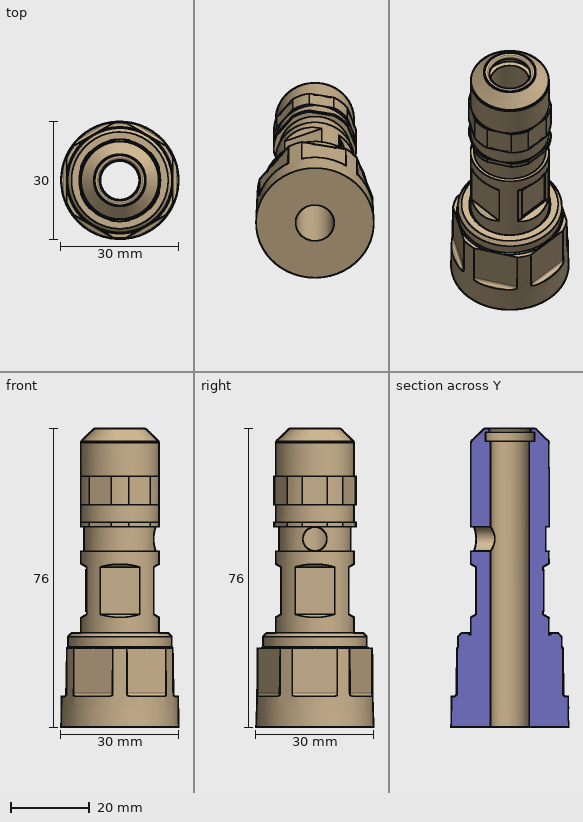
import cadquery as cq
import math

total_height = 75.96
bore_radius = 4.9

nut_bottom_radius = 15.0
nut_top_radius = 14.65
nut_height = 20.1
nut_flat_distance = 13.45
nut_flat_width = 11.4
nut_flat_bottom = 8.7
nut_flat_fillet = 0.9

shoulder_radius = 13.25
shoulder_top = 24.0
shoulder_chamfer = 0.95
shoulder_foot = 0.35

groove_radius = 10.35
groove_depth = 0.5

sleeve_radius = 10.0
sleeve_top = 44.75
sleeve_flat_distance = 8.65
sleeve_flat_bottom = 28.7
sleeve_flat_top = 40.7

label_flat_distance = 8.4
label_flat_width = 10.72
label_width = 8.15
label_height = 10.55
label_thickness = 0.25

neck_radius = 9.15
neck_hole_radius = 3.05

cap_radius = 10.0
cap_bottom = 50.95
collar_radius = 10.5
collar_flat_distance = 10.0
lower_collar_height = 1.2
upper_collar_bottom = 56.5
upper_collar_top = 63.75
cap_edge_bottom = 72.3
cap_edge_top = 72.75
cap_edge_radius = 9.85
nose_radius = 6.65
nose_bevel_width = 0.3
nose_bevel_height = 0.1

lip_radius = 5.2
lip_fillet = 0.5
mouth_groove_radius = 6.2
mouth_groove_top = total_height - 1.0
mouth_floor = total_height - 3.2

ramp_angle = 30.0

hex_sides = 6
hex_step = 360 / hex_sides
hex_angles = [hex_step * i for i in range(hex_sides)]

overlap = 1.0


def arc_inset(radius):
    """Distance from each side of a square corner to the middle of its fillet arc."""
    return radius * (1 - math.cos(math.radians(45)))


def cut_at_angles(body, cutter, angles):
    """Subtract copies of a cutter turned to each angle about Z."""
    for angle in angles:
        body = body.cut(cutter.rotate((0, 0, 0), (0, 0, 1), angle))
    return body


def sleeve_flat_cutter(distance, width):
    """Prism that leaves a flat facing +X, with a sloped run-out at each end."""
    reach = sleeve_radius + overlap - distance
    rise = reach * math.tan(math.radians(ramp_angle))
    return (
        cq.Workplane("XZ")
        .moveTo(distance, sleeve_flat_bottom)
        .lineTo(distance + reach, sleeve_flat_bottom - rise)
        .lineTo(distance + reach, sleeve_flat_top + rise)
        .lineTo(distance, sleeve_flat_top)
        .close()
        .extrude(width / 2, both=True)
    )


def nut_flat_cutter():
    """Straight-sided pocket facing +X, open at the top and filleted at its foot."""
    outside = nut_bottom_radius + overlap
    top = nut_height + shoulder_foot
    floor = nut_flat_bottom - nut_flat_fillet
    bend = arc_inset(nut_flat_fillet)
    return (
        cq.Workplane("XZ")
        .moveTo(nut_flat_distance, top)
        .lineTo(nut_flat_distance, nut_flat_bottom)
        .threePointArc(
            (nut_flat_distance + bend, floor + bend),
            (nut_flat_distance + nut_flat_fillet, floor),
        )
        .lineTo(outside, floor)
        .lineTo(outside, top)
        .close()
        .extrude(nut_flat_width / 2, both=True)
    )


def make_nut():
    """Tapered nut body, before its flats are cut."""
    return (
        cq.Workplane("XZ")
        .lineTo(nut_bottom_radius, 0)
        .lineTo(nut_top_radius, nut_height)
        .lineTo(0, nut_height)
        .close()
        .revolve(360, (0, 0, 0), (0, 1, 0))
    )


def make_shaft():
    """Turned core: shoulder, sleeve, neck and cap."""
    foot_radius = shoulder_radius + shoulder_foot
    foot_bend = arc_inset(shoulder_foot)
    groove_floor = shoulder_top - groove_depth
    return (
        cq.Workplane("XZ")
        .moveTo(0, nut_height - overlap)
        .lineTo(foot_radius, nut_height - overlap)
        .lineTo(foot_radius, nut_height)
        .threePointArc(
            (shoulder_radius + foot_bend, nut_height + foot_bend),
            (shoulder_radius, nut_height + shoulder_foot),
        )
        .lineTo(shoulder_radius, shoulder_top - shoulder_chamfer)
        .lineTo(shoulder_radius - shoulder_chamfer, shoulder_top)
        .lineTo(groove_radius, shoulder_top)
        .lineTo(groove_radius, groove_floor)
        .lineTo(sleeve_radius, groove_floor)
        .lineTo(sleeve_radius, sleeve_top)
        .lineTo(neck_radius, sleeve_top)
        .lineTo(neck_radius, cap_bottom)
        .lineTo(cap_radius, cap_bottom)
        .lineTo(cap_radius, cap_edge_bottom)
        .lineTo(cap_edge_radius, cap_edge_top)
        .lineTo(nose_radius, total_height - nose_bevel_height)
        .lineTo(nose_radius - nose_bevel_width, total_height)
        .lineTo(0, total_height)
        .close()
        .revolve(360, (0, 0, 0), (0, 1, 0))
    )


def make_collar(z_bottom, height):
    """Hexagon with its corners rounded off by a cylinder."""
    across_corners = 2 * collar_flat_distance / math.cos(math.radians(hex_step / 2))
    disc = cq.Workplane("XY").workplane(offset=z_bottom).circle(collar_radius).extrude(height)
    hexagon = (
        cq.Workplane("XY")
        .workplane(offset=z_bottom)
        .polygon(hex_sides, across_corners)
        .extrude(height)
        .rotate((0, 0, 0), (0, 0, 1), hex_step / 2)
    )
    return disc.intersect(hexagon)


def cut_sleeve_flats(body):
    """Three plain flats, and the deeper label flat on the -X side."""
    plain = sleeve_flat_cutter(sleeve_flat_distance, 2 * sleeve_radius)
    body = cut_at_angles(body, plain, [0, 90, 270])
    label = sleeve_flat_cutter(label_flat_distance, label_flat_width)
    return cut_at_angles(body, label, [180])


def make_label_plate():
    """Thin raised plate in the middle of the label flat."""
    middle = (sleeve_flat_bottom + sleeve_flat_top) / 2
    depth = label_thickness + overlap
    outer_face = label_flat_distance + label_thickness
    return (
        cq.Workplane("XY")
        .box(depth, label_width, label_height)
        .translate((depth / 2 - outer_face, 0, middle))
    )


def make_bore():
    """Through bore together with the lip and groove at its mouth."""
    lip_bend = arc_inset(lip_fillet)
    return (
        cq.Workplane("XZ")
        .moveTo(0, -overlap)
        .lineTo(bore_radius, -overlap)
        .lineTo(bore_radius, mouth_floor)
        .lineTo(mouth_groove_radius, mouth_floor)
        .lineTo(mouth_groove_radius, mouth_groove_top)
        .lineTo(lip_radius, mouth_groove_top)
        .lineTo(lip_radius, total_height - lip_fillet)
        .threePointArc(
            (lip_radius + lip_bend, total_height - lip_bend),
            (lip_radius + lip_fillet, total_height),
        )
        .lineTo(0, total_height)
        .close()
        .revolve(360, (0, 0, 0), (0, 1, 0))
    )


def make_neck_hole():
    """Radial hole from the +X side into the bore."""
    middle = (sleeve_top + cap_bottom) / 2
    return (
        cq.Workplane("YZ")
        .center(0, middle)
        .circle(neck_hole_radius)
        .extrude(neck_radius + overlap)
    )


shaft = cut_sleeve_flats(make_shaft()).union(make_label_plate())
body = cut_at_angles(make_nut().union(shaft), nut_flat_cutter(), hex_angles)
result = (
    body
    .union(make_collar(cap_bottom, lower_collar_height))
    .union(make_collar(upper_collar_bottom, upper_collar_top - upper_collar_bottom))
    .cut(make_bore())
    .cut(make_neck_hole())
)